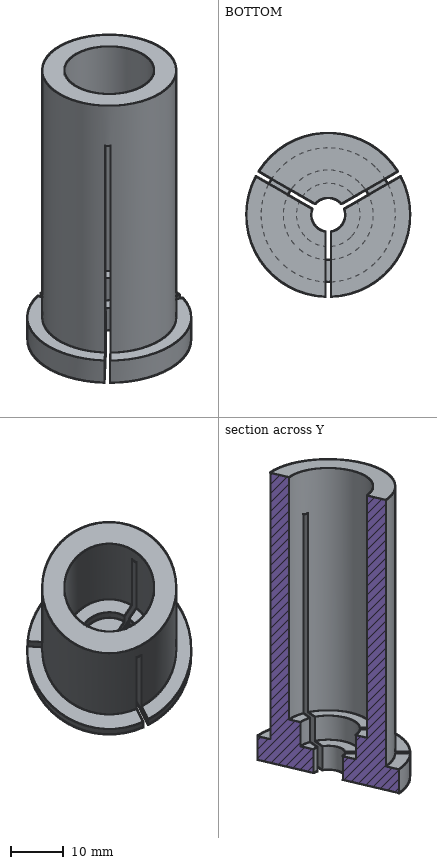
import cadquery as cq

total_height = 60
flange_diameter = 31.0
flange_height = 5.0
body_diameter = 25.4

main_bore_diameter = 17.0
middle_bore_diameter = 12
through_hole_diameter = 6.35
main_bore_floor = 2 * flange_height
middle_bore_floor = flange_height

slot_count = 3
slot_width = 1.0
slot_top = 51
first_slot_angle = 90


def cylinder(diameter, bottom, top):
    """Vertical cylinder on the Z axis between two heights."""
    return cq.Workplane("XY").workplane(offset=bottom).circle(diameter / 2).extrude(top - bottom)


def slot_cutter(angle):
    """Radial slab from the axis past the flange rim, open at the bottom."""
    return (
        cq.Workplane("XY")
        .box(flange_diameter, slot_width, slot_top, centered=(False, True, False))
        .rotate((0, 0, 0), (0, 0, 1), angle)
    )


sleeve = cylinder(flange_diameter, 0, flange_height)
sleeve = sleeve.union(cylinder(body_diameter, 0, total_height))

sleeve = sleeve.cut(cylinder(through_hole_diameter, 0, total_height))
sleeve = sleeve.cut(cylinder(middle_bore_diameter, middle_bore_floor, total_height))
sleeve = sleeve.cut(cylinder(main_bore_diameter, main_bore_floor, total_height))

for index in range(slot_count):
    slot_angle = first_slot_angle + index * 360 / slot_count
    sleeve = sleeve.cut(slot_cutter(slot_angle))

result = sleeve